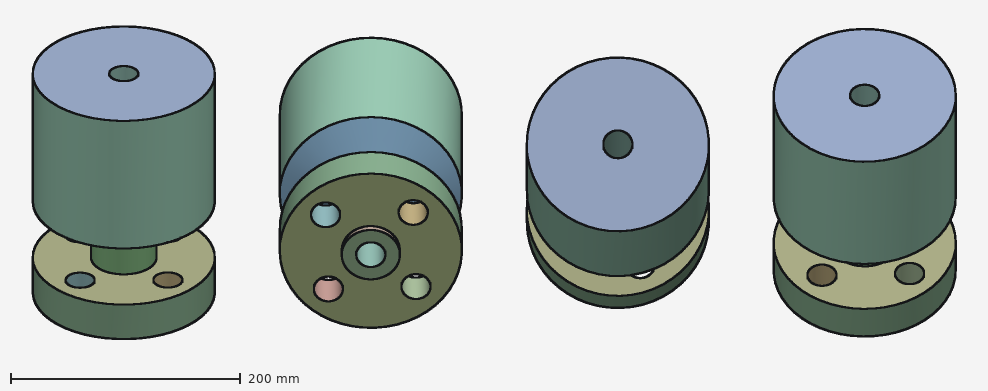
import cadquery as cq

total_height = 228.5
raised_face_height = 6.5
flange_thickness = 35.2
neck_height = 28.0
cone_height = 29.3

body_diameter = 158.6
neck_diameter = 57.2
raised_face_diameter = 50.7
bore_diameter = 25.4

bolt_hole_count = 4
bolt_hole_diameter = 25.4
bolt_circle_diameter = 108.0

flange_bottom = raised_face_height
flange_top = flange_bottom + flange_thickness
cone_bottom = flange_top + neck_height
cone_top = cone_bottom + cone_height


def turned_body():
    """Flange, neck, cone and cylinder revolved as one half profile about Z."""
    body_radius = body_diameter / 2
    neck_radius = neck_diameter / 2
    raised_face_radius = raised_face_diameter / 2
    profile = [
        (0, 0),
        (raised_face_radius, 0),
        (raised_face_radius, flange_bottom),
        (body_radius, flange_bottom),
        (body_radius, flange_top),
        (neck_radius, flange_top),
        (neck_radius, cone_bottom),
        (body_radius, cone_top),
        (body_radius, total_height),
        (0, total_height),
    ]
    return cq.Workplane("XZ").polyline(profile).close().revolve(360, (0, 0), (0, 1))


def bore():
    """Straight bore through the full height."""
    return cq.Workplane("XY").circle(bore_diameter / 2).extrude(total_height)


def bolt_holes():
    """Holes on the X and Y axes, through the flange only."""
    return (
        cq.Workplane("XY", origin=(0, 0, flange_bottom))
        .polarArray(bolt_circle_diameter / 2, 0, 360, bolt_hole_count)
        .circle(bolt_hole_diameter / 2)
        .extrude(flange_thickness)
    )


result = turned_body().cut(bore()).cut(bolt_holes())